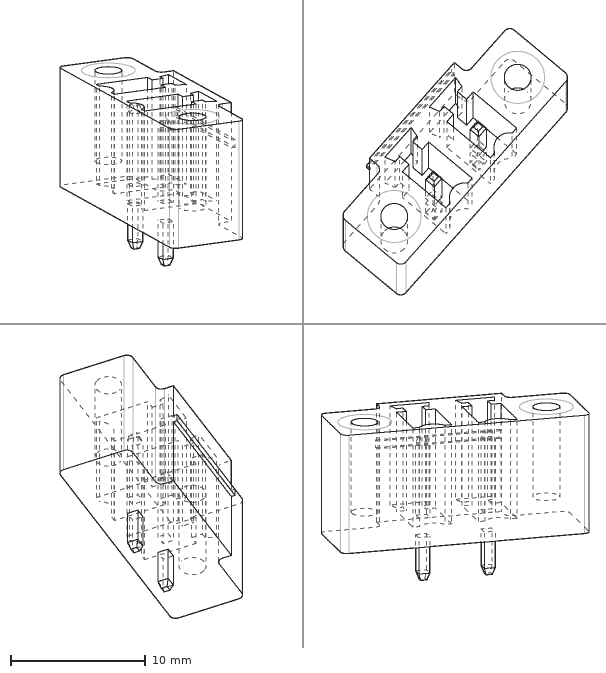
import cadquery as cq

body_length = 19.28
body_height = 9.2
flange_depth = 6.0
front_y = -2.93
step_length = 9.7
step_depth = 1.25
corner_radius = 0.5
flange_back_y = front_y + flange_depth
back_y = flange_back_y + step_depth

rail_projection = 0.3
rail_height = 0.6
rail_drop = 2.9
rail_top_z = body_height - rail_drop

insert_spacing = 14.1
insert_diameter = 4.0
insert_hole_diameter = 2.0
insert_depth = 7.0

pitch = 5.08
contact_xs = (-pitch / 2, pitch / 2)
cavity_floor = 1.5
cavity_width = 3.0
cavity_front_y = -2.48
cavity_shoulder_y = 1.78
neck_width = 1.5
dovetail_front_y = 2.69
dovetail_back_y = 3.5
dovetail_front_width = 2.53
rib_width = 2.0
rib_height = 0.58

pin_width = 0.86
pin_tip_width = 0.48
pin_taper_length = 0.57
pin_tail_length = 3.4
pin_bottom_z = -pin_tail_length
pin_recess = 1.5
pin_top_z = body_height - pin_recess


def make_housing():
    """Flanged block with a raised back step and rounded vertical corners."""
    half_body = body_length / 2
    half_step = step_length / 2
    block = (
        cq.Workplane("XY")
        .moveTo(-half_body, front_y)
        .lineTo(half_body, front_y)
        .lineTo(half_body, flange_back_y)
        .lineTo(half_step, flange_back_y)
        .lineTo(half_step, back_y)
        .lineTo(-half_step, back_y)
        .lineTo(-half_step, flange_back_y)
        .lineTo(-half_body, flange_back_y)
        .close()
        .extrude(body_height)
    )
    rounded_zone = cq.selectors.BoxSelector(
        (-body_length, front_y - corner_radius, 0),
        (body_length, flange_back_y + corner_radius, body_height),
    )
    return block.edges("|Z").edges(rounded_zone).fillet(corner_radius)


def make_rail():
    """Bar that stands out from the back step along its full length."""
    return (
        cq.Workplane("XY", origin=(0, back_y, rail_top_z - rail_height))
        .rect(step_length, 2 * rail_projection)
        .extrude(rail_height)
    )


def make_cavity(x):
    """Keyed contact pocket: dovetail, neck and main chamber with a round rib."""
    half_cavity = cavity_width / 2
    half_neck = neck_width / 2
    half_dovetail = dovetail_front_width / 2
    half_rib = rib_width / 2
    return (
        cq.Workplane("XY", origin=(x, 0, cavity_floor))
        .moveTo(-half_cavity, cavity_front_y)
        .lineTo(-half_rib, cavity_front_y)
        .threePointArc((0, cavity_front_y + rib_height), (half_rib, cavity_front_y))
        .lineTo(half_cavity, cavity_front_y)
        .lineTo(half_cavity, cavity_shoulder_y)
        .lineTo(half_neck, cavity_shoulder_y)
        .lineTo(half_neck, dovetail_front_y)
        .lineTo(half_dovetail, dovetail_front_y)
        .lineTo(half_cavity, dovetail_back_y)
        .lineTo(-half_cavity, dovetail_back_y)
        .lineTo(-half_dovetail, dovetail_front_y)
        .lineTo(-half_neck, dovetail_front_y)
        .lineTo(-half_neck, cavity_shoulder_y)
        .lineTo(-half_cavity, cavity_shoulder_y)
        .close()
        .extrude(body_height - cavity_floor)
    )


def make_pin(x):
    """Square pin through the cavity floor, tapered at both ends."""
    lower_shoulder_z = pin_bottom_z + pin_taper_length
    shank_length = pin_top_z - pin_bottom_z - 2 * pin_taper_length
    shank = (
        cq.Workplane("XY", origin=(x, 0, lower_shoulder_z))
        .rect(pin_width, pin_width)
        .extrude(shank_length)
    )
    top_taper = (
        shank.faces(">Z").workplane()
        .rect(pin_width, pin_width)
        .workplane(offset=pin_taper_length)
        .rect(pin_tip_width, pin_tip_width)
        .loft(combine=False)
    )
    bottom_taper = (
        shank.faces("<Z").workplane()
        .rect(pin_width, pin_width)
        .workplane(offset=pin_taper_length)
        .rect(pin_tip_width, pin_tip_width)
        .loft(combine=False)
    )
    return shank.union(top_taper).union(bottom_taper)


def insert_cylinder(x, diameter):
    """Cylinder sunk from the top face at an insert position."""
    return (
        cq.Workplane("XY", origin=(x, 0, body_height - insert_depth))
        .circle(diameter / 2)
        .extrude(insert_depth)
    )


result = make_housing().union(make_rail())

for contact_x in contact_xs:
    result = result.cut(make_cavity(contact_x))
    result = result.union(make_pin(contact_x))

for insert_x in (-insert_spacing / 2, insert_spacing / 2):
    bore = insert_cylinder(insert_x, insert_diameter)
    sleeve = bore.cut(insert_cylinder(insert_x, insert_hole_diameter))
    result = result.cut(bore, clean=False).union(sleeve, clean=False)